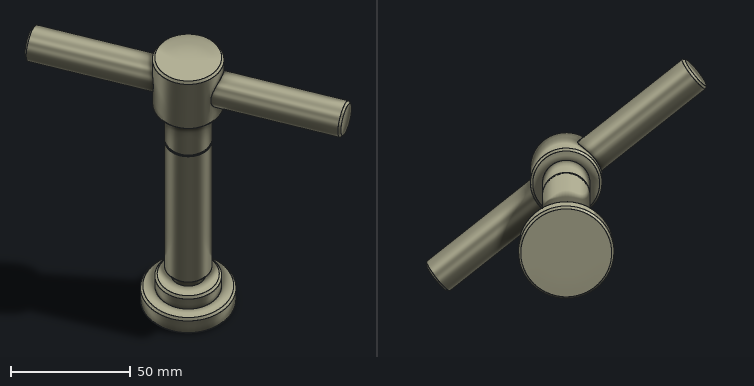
import cadquery as cq

total_height = 143.6
handle_length = 140.0
handle_diameter = 16.0
handle_chamfer = 1.0

head_diameter = 30.0
head_height = 28.0
head_chamfer = 1.0
handle_drop = 14.0

spindle_diameter = 20.0
spindle_bottom = 20.0
spindle_chamfer = 1.0
thread_length = 75.0
groove_width = 0.6
groove_depth = 0.5

neck_diameter = 14.6
foot_diameter = 40.0
foot_height = 9.0
collar_diameter = 28.0
collar_top = 16.0
foot_chamfer = 1.0

head_bottom = total_height - head_height
groove_bottom = spindle_bottom + thread_length


def cylinder(diameter, bottom, top):
    """Vertical cylinder on the Z axis between two heights."""
    return cq.Workplane("XY").workplane(offset=bottom).circle(diameter / 2).extrude(top - bottom)


foot = cylinder(foot_diameter, 0, foot_height).edges().chamfer(foot_chamfer)
collar = cylinder(collar_diameter, foot_height, collar_top).faces(">Z").edges().chamfer(foot_chamfer)
neck = cylinder(neck_diameter, collar_top, spindle_bottom)

spindle = cylinder(spindle_diameter, spindle_bottom, head_bottom).faces("<Z").edges().chamfer(spindle_chamfer)
groove_core = cylinder(spindle_diameter - 2 * groove_depth, groove_bottom, groove_bottom + groove_width)
groove = cylinder(spindle_diameter, groove_bottom, groove_bottom + groove_width).cut(groove_core)
spindle = spindle.cut(groove)

head = cylinder(head_diameter, head_bottom, total_height).edges().chamfer(head_chamfer)
handle = (
    cq.Workplane("YZ", origin=(-handle_length / 2, 0, total_height - handle_drop))
    .circle(handle_diameter / 2)
    .extrude(handle_length)
    .edges()
    .chamfer(handle_chamfer)
)

result = foot.union(collar).union(neck).union(spindle).union(head).union(handle)